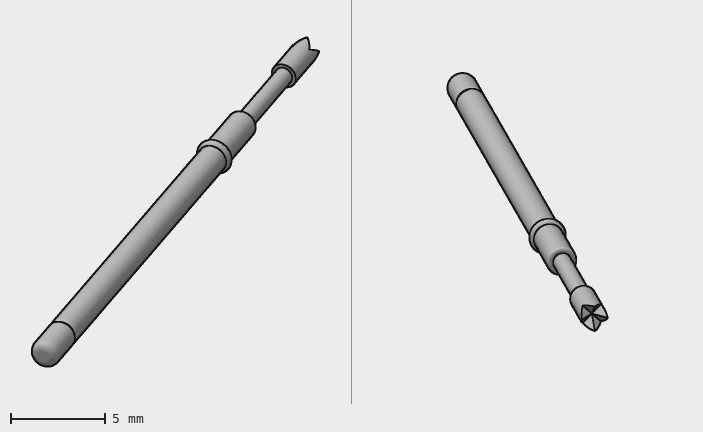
import cadquery as cq
import math

OVERALL_LENGTH = 34.3

BARREL_RADIUS = 1.6 / 2
BARREL_LENGTH = 25.95
TAIL_FILLET = 0.45
MOUTH_FILLET = 0.17

RING_RADIUS = 2.0 / 2
RING_START = 22.0
RING_WIDTH = 0.5

GROOVE_CENTRE = 2.55
GROOVE_WIDTH = 0.38
GROOVE_DEPTH = 0.1

STEM_RADIUS = 1.0 / 2
HEAD_RADIUS = 1.4 / 2
HEAD_LENGTH = 3.05
CROWN_DEPTH = 0.8
CROWN_POINTS = 4
HALF_POINT_ANGLE = 180 / CROWN_POINTS


def tangent_radius(length, drop):
    """Radius of an arc that leaves the barrel wall tangentially and drops inward over a length."""
    return (length**2 + drop**2) / (2 * drop)


def make_barrel():
    """Revolve the half profile, with its rounded ends, groove and press ring, about Y."""
    ring_end = RING_START + RING_WIDTH
    ring_middle = RING_START + RING_WIDTH / 2
    groove_start = GROOVE_CENTRE - GROOVE_WIDTH / 2
    groove_end = GROOVE_CENTRE + GROOVE_WIDTH / 2
    groove_round = tangent_radius(GROOVE_WIDTH / 2, GROOVE_DEPTH)
    profile = (
        cq.Workplane("XY")
        .lineTo(BARREL_RADIUS - TAIL_FILLET, 0)
        .radiusArc((BARREL_RADIUS, TAIL_FILLET), -TAIL_FILLET)
        .lineTo(BARREL_RADIUS, groove_start)
        .radiusArc((BARREL_RADIUS - GROOVE_DEPTH, GROOVE_CENTRE), -groove_round)
        .radiusArc((BARREL_RADIUS, groove_end), -groove_round)
        .lineTo(BARREL_RADIUS, RING_START)
        .threePointArc((RING_RADIUS, ring_middle), (BARREL_RADIUS, ring_end))
        .lineTo(BARREL_RADIUS, BARREL_LENGTH - MOUTH_FILLET)
        .radiusArc((BARREL_RADIUS - MOUTH_FILLET, BARREL_LENGTH), -MOUTH_FILLET)
        .lineTo(0, BARREL_LENGTH)
        .close()
    )
    return profile.revolve(360, (0, 0, 0), (0, 1, 0))


def make_crown_cut(angle):
    """V-shaped groove across the head, turned about Y; its walls meet at the crown tips."""
    half_width = HEAD_RADIUS * math.sin(math.radians(HALF_POINT_ANGLE))
    return (
        cq.Workplane("XY")
        .moveTo(0, OVERALL_LENGTH - CROWN_DEPTH)
        .lineTo(half_width, OVERALL_LENGTH)
        .lineTo(-half_width, OVERALL_LENGTH)
        .close()
        .extrude(HEAD_RADIUS, both=True)
        .rotate((0, 0, 0), (0, 1, 0), angle)
    )


def make_plunger():
    """Stem standing on the barrel mouth, with a wider head that ends in a four-point crown."""
    head_start = OVERALL_LENGTH - HEAD_LENGTH
    profile = (
        cq.Workplane("XY")
        .moveTo(0, BARREL_LENGTH)
        .lineTo(STEM_RADIUS, BARREL_LENGTH)
        .lineTo(STEM_RADIUS, head_start)
        .lineTo(HEAD_RADIUS, head_start)
        .lineTo(HEAD_RADIUS, OVERALL_LENGTH)
        .lineTo(0, OVERALL_LENGTH)
        .close()
    )
    plunger = profile.revolve(360, (0, 0, 0), (0, 1, 0))
    for index in range(CROWN_POINTS // 2):
        angle = (2 * index + 1) * HALF_POINT_ANGLE
        plunger = plunger.cut(make_crown_cut(angle))
    return plunger


barrel = make_barrel()
plunger = make_plunger()

result = cq.Compound.makeCompound([barrel.val(), plunger.val()])